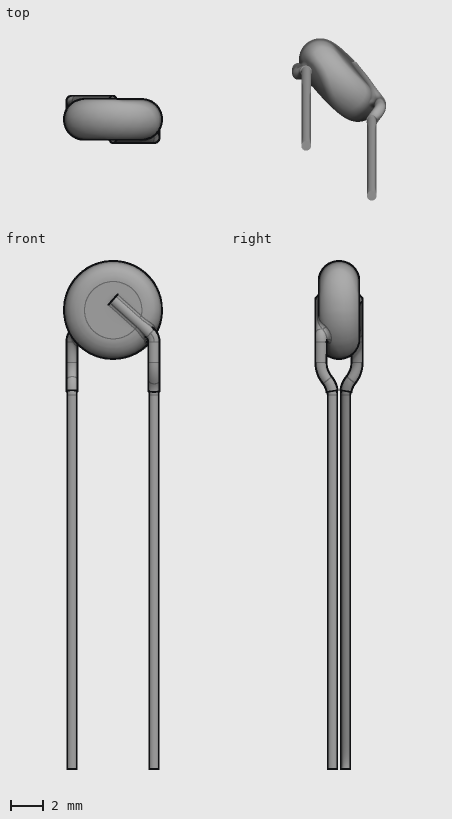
import cadquery as cq
import math

disc_diameter = 6.0
disc_thickness = 2.5
disc_rim_radius = disc_thickness / 2

lead_count = 2
wire_diameter = 0.6
sleeve_diameter = 0.7
lead_pitch = 5.0
overall_depth = 2.9
wire_tip_z = -28.0
wire_offset_y = 0.4
lead_x = lead_pitch / 2
sleeve_offset_y = (overall_depth - sleeve_diameter) / 2

slant_end_z = 0.63
elbow_corner_z = -1.62
elbow_radius = 0.7

coating_fillet = 0.2

bend_top_z = -3.2
bend_angle = math.radians(39)
sleeve_end_angle = math.radians(9)
upper_bend_radius = 1.7
bend_shift = sleeve_offset_y - wire_offset_y
lower_bend_radius = bend_shift / (1 - math.cos(bend_angle)) - upper_bend_radius
bend_bottom_z = bend_top_z - (upper_bend_radius + lower_bend_radius) * math.sin(bend_angle)


def make_disc():
    """Disc with flat faces and a fully rounded rim."""
    flat_radius = disc_diameter / 2 - disc_rim_radius
    profile = (
        cq.Workplane("XY")
        .moveTo(0, -disc_thickness / 2)
        .lineTo(flat_radius, -disc_thickness / 2)
        .threePointArc((disc_diameter / 2, 0), (flat_radius, disc_thickness / 2))
        .lineTo(0, disc_thickness / 2)
        .close()
    )
    return profile.revolve(360, (0, 0, 0), (0, 1, 0))


def elbow_edges():
    """Slanted run and elbow, in the plane of the front sleeve."""
    slant_angle = math.atan2(slant_end_z - elbow_corner_z, lead_x)
    turn = math.pi / 2 - slant_angle
    tangent_length = elbow_radius * math.tan(turn / 2)
    centre_x = lead_x - elbow_radius
    elbow_bottom_z = elbow_corner_z - tangent_length

    def elbow_point(angle):
        return cq.Vector(
            centre_x + elbow_radius * math.cos(angle),
            -sleeve_offset_y,
            elbow_bottom_z + elbow_radius * math.sin(angle),
        )

    slant_end = cq.Vector(0, -sleeve_offset_y, slant_end_z)
    elbow_bottom = elbow_point(0)
    slant = cq.Edge.makeLine(slant_end, elbow_point(turn))
    elbow = cq.Edge.makeThreePointArc(elbow_point(turn), elbow_point(turn / 2), elbow_bottom)
    drop = cq.Edge.makeLine(elbow_bottom, cq.Vector(lead_x, -sleeve_offset_y, bend_top_z))
    return [slant, elbow, drop]


def upper_bend_point(angle):
    """Point on the upper arc, at an angle turned from the vertical run."""
    y = upper_bend_radius * (1 - math.cos(angle)) - sleeve_offset_y
    z = bend_top_z - upper_bend_radius * math.sin(angle)
    return cq.Vector(lead_x, y, z)


def lower_bend_point(angle):
    """Point on the lower arc, at an angle turned from the straight wire."""
    y = lower_bend_radius * (math.cos(angle) - 1) - wire_offset_y
    z = bend_bottom_z + lower_bend_radius * math.sin(angle)
    return cq.Vector(lead_x, y, z)


def bend_arc(point_at, start_angle, end_angle):
    """Arc edge between two angles of a bend."""
    middle_angle = (start_angle + end_angle) / 2
    return cq.Edge.makeThreePointArc(point_at(start_angle), point_at(middle_angle), point_at(end_angle))


def sweep_round(diameter, edges, seam_direction):
    """Round bar along a chain of tangent edges."""
    start_plane = cq.Plane(origin=edges[0].startPoint(), xDir=seam_direction, normal=edges[0].tangentAt(0))
    path = cq.Workplane(cq.Wire.assembleEdges(edges))
    return cq.Workplane(start_plane).circle(diameter / 2).sweep(path)


def make_front_lead():
    """Bent sleeve with the bare wire leaving its lower end."""
    upper_bend = bend_arc(upper_bend_point, 0, bend_angle)
    sleeved_bend = bend_arc(lower_bend_point, bend_angle, sleeve_end_angle)
    bare_bend = bend_arc(lower_bend_point, sleeve_end_angle, 0)
    wire_tip = cq.Vector(lead_x, -wire_offset_y, wire_tip_z)
    straight_wire = cq.Edge.makeLine(lower_bend_point(0), wire_tip)

    sleeve = sweep_round(sleeve_diameter, elbow_edges() + [upper_bend, sleeved_bend], (0, -1, 0))
    wire = sweep_round(wire_diameter, [bare_bend, straight_wire], (1, 0, 0))
    return sleeve.union(wire)


def is_junction(edge, disc_faces):
    """True for an edge between a long side of the sleeve and the disc surface."""
    touching = [face for face in disc_faces if any(edge.isSame(other) for other in face.Edges())]
    is_sleeve_end = edge.geomType() == "LINE" and edge.Center().x < sleeve_diameter / 2
    return len(touching) == 1 and edge.geomType() != "CIRCLE" and not is_sleeve_end


def attach_lead(body):
    """Join the front lead to the body and fillet both sides of the embedded sleeve."""
    joined = body.union(make_front_lead()).val()
    disc_faces = [face for face in joined.Faces() if face.BoundingBox().xmin < -lead_x / 2]
    junction = [edge for edge in joined.Edges() if is_junction(edge, disc_faces)]
    return cq.Workplane(joined.fillet(coating_fillet, junction))


result = make_disc()
for _ in range(lead_count):
    result = attach_lead(result.rotate((0, 0, 0), (0, 0, 1), 360 / lead_count))